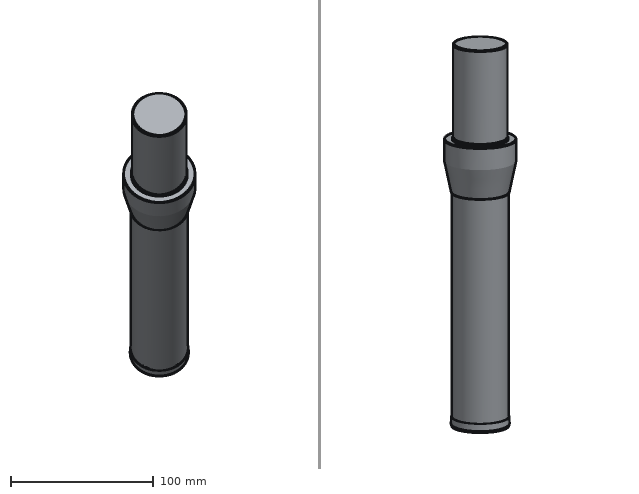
import cadquery as cq
import math

total_length = 279.91
collar_radius = 50.8 / 2

post_radius = 19.3
post_exposed_length = 69.5
post_top_chamfer = 0.9

groove_radius = 18.6
groove_floor_height = 0.6
groove_height = 1.4

foot_top_radius = 20.4
foot_top = 7.9
foot_radius = 20.8
foot_flare_bottom = 2.7
foot_edge_radius = 20.3
dome_height = 1.2

collar_height = 16.2
collar_chamfer = 0.5
mouth_chamfer = 0.7

taper_height = 22.9
taper_end_radius = 20.7
taper_end_chamfer = 0.7

tube_radius = 20.2

collar_top = total_length - post_exposed_length
collar_bottom = collar_top - collar_height
taper_bottom = collar_bottom - taper_height
groove_top = collar_top + groove_height


def make_sleeve():
    """Thin tube with a tapered collar at the top, bored through for the post."""
    half_profile = [
        (post_radius, foot_top),
        (tube_radius, foot_top),
        (tube_radius, taper_bottom),
        (taper_end_radius, taper_bottom + taper_end_chamfer),
        (collar_radius, collar_bottom),
        (collar_radius, collar_top - collar_chamfer),
        (collar_radius - collar_chamfer, collar_top),
        (post_radius + mouth_chamfer, collar_top),
        (post_radius, collar_top - mouth_chamfer),
    ]
    return cq.Workplane("XZ").polyline(half_profile).close().revolve(360, (0, 0), (0, 1))


def make_post():
    """Bar from the domed foot to the chamfered top, grooved just above the collar."""
    dome_radius = (foot_edge_radius**2 + dome_height**2) / (2 * dome_height)
    dome_mid_x = foot_edge_radius / 2
    dome_mid_z = dome_radius - math.sqrt(dome_radius**2 - dome_mid_x**2)
    half_profile = (
        cq.Workplane("XZ")
        .moveTo(0, 0)
        .threePointArc((dome_mid_x, dome_mid_z), (foot_edge_radius, dome_height))
        .lineTo(foot_radius, foot_flare_bottom)
        .lineTo(foot_top_radius, foot_top)
        .lineTo(post_radius, foot_top)
        .lineTo(post_radius, collar_top - mouth_chamfer)
        .lineTo(groove_radius, collar_top)
        .lineTo(groove_radius, collar_top + groove_floor_height)
        .lineTo(post_radius, groove_top)
        .lineTo(post_radius, total_length - post_top_chamfer)
        .lineTo(post_radius - post_top_chamfer, total_length)
        .lineTo(0, total_length)
        .close()
    )
    return half_profile.revolve(360, (0, 0), (0, 1))


sleeve = make_sleeve()
post = make_post()

result = cq.Compound.makeCompound([sleeve.val(), post.val()])